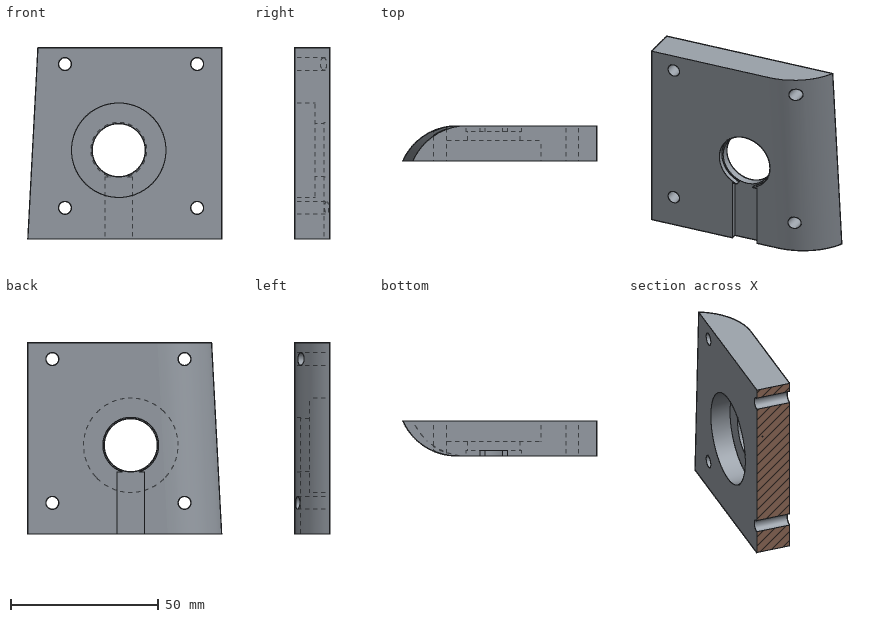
import cadquery as cq
import math

length = 65.9
thickness = 12.0
height = 65.0
left_lean = 3.4
nose_radius = 20.0

bore_x = 30.9
bore_z = 30.2
bore_diameter = 18.0
seat_diameter = 32.1
seat_depth = 7.0
back_diameter = 19.0
back_depth = 2.0

relief_width = 9.2
relief_top = 21.15

screw_diameter = 4.3
screw_columns = (12.65, 57.55)
screw_rows = (10.6, 59.45)


def make_plate():
    """Bar with a rounded left side, extruded along the leaning left edge and trimmed to a square block."""
    arc_center_y = thickness - nose_radius
    nose_length = math.sqrt(nose_radius**2 - arc_center_y**2)
    half_angle = math.asin(nose_length / nose_radius) / 2
    arc_middle = (
        nose_length - nose_radius * math.sin(half_angle),
        arc_center_y + nose_radius * math.cos(half_angle),
    )
    bar_end = 2 * length
    bar_height = 2 * height
    leaning_plane = cq.Plane(origin=(0, 0, 0), xDir=(height, 0, -left_lean), normal=(left_lean, 0, height))
    leaning_bar = (
        cq.Workplane(leaning_plane)
        .lineTo(bar_end, 0)
        .lineTo(bar_end, thickness)
        .lineTo(nose_length, thickness)
        .threePointArc(arc_middle, (0, 0))
        .close()
        .extrude(bar_height)
    )
    block = cq.Workplane("XY").box(length, thickness, height, centered=False)
    return block.intersect(leaning_bar)


def round_cut(x, z, diameter, start_y, end_y):
    """Cylinder along Y between two depths, used as a cutting tool."""
    return cq.Workplane("XZ", origin=(x, start_y, z)).circle(diameter / 2).extrude(start_y - end_y)


def make_opening():
    """Stepped central opening, all steps on one axis."""
    bore = round_cut(bore_x, bore_z, bore_diameter, 0, thickness)
    seat = round_cut(bore_x, bore_z, seat_diameter, 0, seat_depth)
    back = round_cut(bore_x, bore_z, back_diameter, thickness - back_depth, thickness)
    return bore.union(seat).union(back)


def make_relief():
    """Shallow channel in the back face, centered under the bore."""
    channel = cq.Workplane("XY").box(relief_width, back_depth, relief_top, centered=False)
    return channel.translate((bore_x - relief_width / 2, thickness - back_depth, 0))


result = make_plate().cut(make_opening()).cut(make_relief())

for screw_x in screw_columns:
    for screw_z in screw_rows:
        result = result.cut(round_cut(screw_x, screw_z, screw_diameter, 0, thickness))